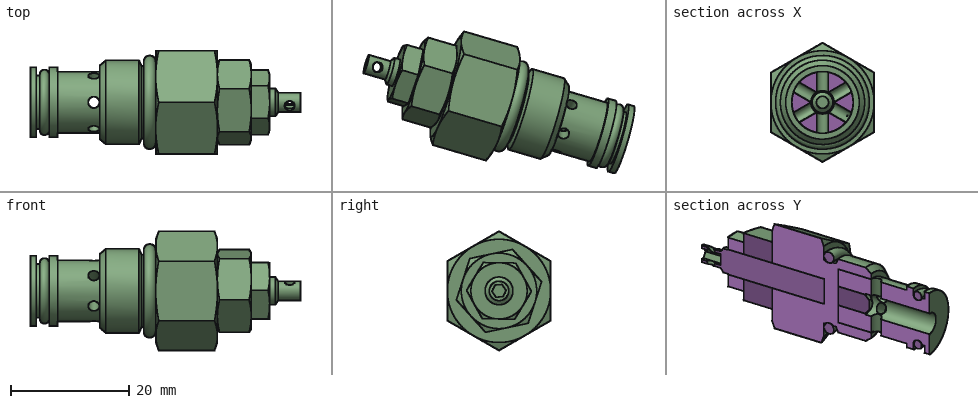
import cadquery as cq
import math


NOSE_LIP_END = 1.05
SHOULDER_START = 3.2
SHOULDER_END = 4.6
BODY_START = 11.7
BODY_CHAMFER_LENGTH = 1.1
BODY_LAND_END = 18.38
BODY_REAR_CHAMFER_LENGTH = 0.45
HEX_START = 21.2
HEX_END = 31.65
NUT_END = 37.35
HEAD_END = 40.45
COLLAR_END = 41.4
PIN_START = 41.9
OVERALL_LENGTH = 45.7

CAGE_DIAMETER = 10.4
LIP_DIAMETER = 11.9
NOSE_GROOVE_DIAMETER = 9.1
BORE_DIAMETER = 3.95
BORE_DEPTH = 12.85
PORT_DIAMETER = 1.87
PORT_COUNT = 6
PORT_X = 10.75

POPPET_DIAMETER = 3.5
POPPET_TIP_DIAMETER = 2.05

NOSE_RING_PITCH_DIAMETER = 9.5
NOSE_RING_SECTION = 1.6
BODY_RING_PITCH_DIAMETER = 13.8
BODY_RING_SECTION = 2.05

BODY_DIAMETER = 14.25
BODY_NECK_DIAMETER = 12.3
BODY_FRONT_DIAMETER = 12.45

HEX_FLATS = 17.45
NUT_FLATS = 12.75
HEAD_FLATS = 9.5
HEX_TURN = 30.0
NUT_TURN = 12.0
HEAD_TURN = -1.0
CORNER_CHAMFER_ANGLE = 20.0

SCREW_DIAMETER = 4.7
PIN_DIAMETER = 3.3
PIN_HOLE_DIAMETER = 1.7
SOCKET_FLATS = 2.05
SOCKET_TURN = 4.0
PIN_HOLE_X = 43.85
PIN_HOLE_TILT = 23.0


def revolve_profile(points):
    """Solid of revolution about X from (x, radius) points; both ends close on the axis."""
    closed = [(points[0][0], 0), *points, (points[-1][0], 0)]
    return cq.Workplane("XY").polyline(closed).close().revolve(360, (0, 0, 0), (1, 0, 0))


def cylinder(start, end, diameter):
    """Cylinder on the X axis."""
    return cq.Workplane("YZ", origin=(start, 0, 0)).circle(diameter / 2).extrude(end - start)


def cross_cylinder(x, diameter, length, turn):
    """Cylinder across the axis and centred on it, turned from +Z about X."""
    rod = cq.Workplane("XY", origin=(x, 0, 0)).circle(diameter / 2).extrude(length / 2, both=True)
    return rod.rotate((0, 0, 0), (1, 0, 0), turn)


def hexagon(start, end, flats, turn, chamfer_start=True, chamfer_end=True):
    """Hexagonal bar along X whose corners are coned down to the flats at the chosen ends."""
    corner_radius = flats / math.sqrt(3)
    flat_radius = flats / 2
    cone_length = (corner_radius - flat_radius) * math.tan(math.radians(CORNER_CHAMFER_ANGLE))
    bar = cq.Workplane("YZ", origin=(start, 0, 0)).polygon(6, 2 * corner_radius).extrude(end - start)
    bar = bar.rotate((0, 0, 0), (1, 0, 0), turn)
    envelope = []
    if chamfer_start:
        envelope += [(start, flat_radius), (start + cone_length, corner_radius)]
    else:
        envelope += [(start, corner_radius)]
    if chamfer_end:
        envelope += [(end - cone_length, corner_radius), (end, flat_radius)]
    else:
        envelope += [(end, corner_radius)]
    return bar.intersect(revolve_profile(envelope))


def make_ring(center_x, pitch_diameter, section):
    """O-ring of round section around the X axis."""
    return (
        cq.Workplane("XY")
        .center(center_x, pitch_diameter / 2)
        .circle(section / 2)
        .revolve(360, (-center_x, -pitch_diameter / 2, 0), (0.45 - center_x, -pitch_diameter / 2, 0))
    )


def make_poppet():
    """Round poppet held in the cage floor, with a 45 degree nose standing into the bore."""
    nose_length = (POPPET_DIAMETER - POPPET_TIP_DIAMETER) / 2
    return revolve_profile([
        (BORE_DEPTH - nose_length, POPPET_TIP_DIAMETER / 2),
        (BORE_DEPTH, POPPET_DIAMETER / 2),
        (BODY_LAND_END, POPPET_DIAMETER / 2),
    ])


def make_cage(nose_ring, poppet):
    """Ported sleeve with a grooved nose; its plain end plugs into the body."""
    cage = revolve_profile([
        (0, LIP_DIAMETER / 2),
        (NOSE_LIP_END, LIP_DIAMETER / 2),
        (NOSE_LIP_END, NOSE_GROOVE_DIAMETER / 2),
        (SHOULDER_START, NOSE_GROOVE_DIAMETER / 2),
        (SHOULDER_START, LIP_DIAMETER / 2),
        (SHOULDER_END, LIP_DIAMETER / 2),
        (SHOULDER_END, CAGE_DIAMETER / 2),
        (BODY_LAND_END, CAGE_DIAMETER / 2),
    ])
    cage = cage.cut(cylinder(0, BORE_DEPTH, BORE_DIAMETER))
    for index in range(PORT_COUNT // 2):
        cage = cage.cut(cross_cylinder(PORT_X, PORT_DIAMETER, LIP_DIAMETER, index * 360 / PORT_COUNT))
    return cage.cut(nose_ring).cut(poppet)


def make_body(body_ring, cage_socket, screw):
    """Round land and neck with a hexagon behind them, socketed for the cage and the screw."""
    body = revolve_profile([
        (BODY_START, BODY_FRONT_DIAMETER / 2),
        (BODY_START + BODY_CHAMFER_LENGTH, BODY_DIAMETER / 2),
        (BODY_LAND_END, BODY_DIAMETER / 2),
        (BODY_LAND_END + BODY_REAR_CHAMFER_LENGTH, BODY_NECK_DIAMETER / 2),
        (HEX_START, BODY_NECK_DIAMETER / 2),
    ])
    body = body.union(hexagon(HEX_START, HEX_END, HEX_FLATS, HEX_TURN))
    return body.cut(cage_socket).cut(body_ring).cut(screw)


def make_screw():
    """Adjusting screw with a reduced pin end, with a hexagon socket in its end and a cross hole."""
    screw = revolve_profile([
        (HEX_START, SCREW_DIAMETER / 2),
        (COLLAR_END, SCREW_DIAMETER / 2),
        (PIN_START, PIN_DIAMETER / 2),
        (OVERALL_LENGTH, PIN_DIAMETER / 2),
    ])
    socket = hexagon(
        PIN_START, OVERALL_LENGTH, SOCKET_FLATS, SOCKET_TURN, chamfer_start=False, chamfer_end=False
    )
    screw = screw.cut(socket)
    return screw.cut(cross_cylinder(PIN_HOLE_X, PIN_HOLE_DIAMETER, SCREW_DIAMETER, PIN_HOLE_TILT))


nose_ring = make_ring(
    SHOULDER_START - NOSE_RING_SECTION / 2, NOSE_RING_PITCH_DIAMETER, NOSE_RING_SECTION
)
body_ring = make_ring(HEX_START - BODY_RING_SECTION / 2, BODY_RING_PITCH_DIAMETER, BODY_RING_SECTION)
poppet = make_poppet()
cage = make_cage(nose_ring, poppet)
screw = make_screw()
cage_socket = cylinder(BODY_START, BODY_LAND_END, CAGE_DIAMETER)
body = make_body(body_ring, cage_socket, screw)
lock_nut = hexagon(HEX_END, NUT_END, NUT_FLATS, NUT_TURN).cut(screw)
hex_head = hexagon(NUT_END, HEAD_END, HEAD_FLATS, HEAD_TURN, chamfer_start=False).cut(screw)

result = cq.Compound.makeCompound([
    cage.val(),
    nose_ring.val(),
    poppet.val(),
    body.val(),
    body_ring.val(),
    lock_nut.val(),
    hex_head.val(),
    screw.val(),
])